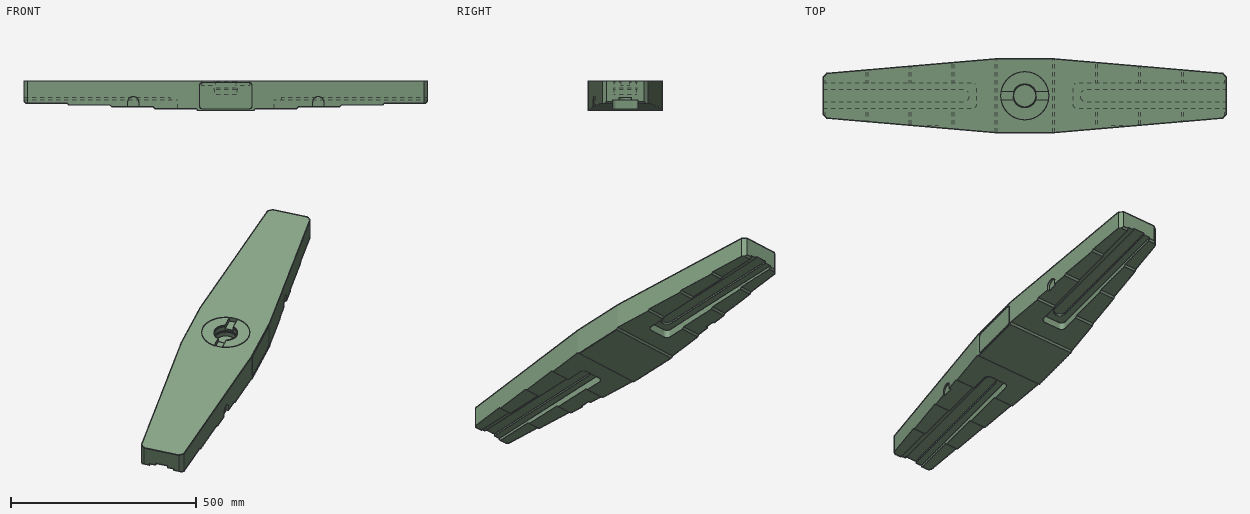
import cadquery as cq

LENGTH = 1090.0
WIDTH = 200.0
HEIGHT = 80.6
END_WIDTH = 120.0
MIDDLE_LENGTH = 160.0
CORNER_CHAMFER = 10.0
EDGE_CHAMFER = 1.0

TERRACE_COUNT = 4
STEP_HEIGHT = 5.0

SEAT_DIAMETER = 130.0
SEAT_DEPTH = 1.0
BORE_DIAMETER = 60.0
BORE_FLOOR_DEPTH = 37.0
BORE_RIM_CHAMFER = 2.0
BORE_GROOVE_DIAMETER = 64.0
BORE_GROOVE_TOP_DEPTH = 20.0
BORE_GROOVE_HEIGHT = 4.0
DRIVING_SLOT_WIDTH = 23.0
DRIVING_SLOT_DEPTH = 13.0

WIDE_CHANNEL_WIDTH = 70.0
WIDE_CHANNEL_CEILING = -51.5
WIDE_CHANNEL_END_X = 130.0
WIDE_CHANNEL_CORNER_RADIUS = 13.0
NARROW_CHANNEL_WIDTH = 34.0
NARROW_CHANNEL_CEILING = -45.6
NARROW_CHANNEL_END_X = 150.0

NOTCH_X = 250.0
NOTCH_WIDTH = 30.0
NOTCH_TOP = -42.5
NOTCH_DEPTH = 5.0

PANEL_LENGTH = 142.0
PANEL_TOP = -5.0
PANEL_CORNER_RADIUS = 8.0
PANEL_DEPTH = 1.0

half_length = LENGTH / 2
half_width = WIDTH / 2
half_middle = MIDDLE_LENGTH / 2
half_end = END_WIDTH / 2
taper_length = half_length - half_middle
terrace_length = taper_length / TERRACE_COUNT
panel_bottom = STEP_HEIGHT - HEIGHT


def plan_body():
    """Flat middle tapering to narrower ends with bevelled corners."""
    upper_right = [(half_middle, half_width), (half_length, half_end)]
    lower_right = [(x, -y) for x, y in reversed(upper_right)]
    left = [(-x, -y) for x, y in upper_right + lower_right]
    body = cq.Workplane("XY").polyline(upper_right + lower_right + left).close().extrude(-HEIGHT)
    body = body.faces("<X or >X").edges("|Z").chamfer(CORNER_CHAMFER)
    return body.faces(">Z or <Z").chamfer(EDGE_CHAMFER)


def side_body():
    """Terraced side outline, extruded across the whole width."""
    right = []
    for i in range(TERRACE_COUNT + 1):
        x = half_middle + i * terrace_length
        z = i * STEP_HEIGHT - HEIGHT
        right.append((x - STEP_HEIGHT, z))
        right.append((x, z + STEP_HEIGHT))
    right.append((half_length, 0))
    left = [(-x, z) for x, z in reversed(right)]
    return cq.Workplane("XZ").polyline(right + left).close().extrude(half_width, both=True)


def disc(diameter, top_depth, height):
    """Round cutter about the Z axis that starts top_depth below the top face."""
    return cq.Workplane("XY", origin=(0, 0, -top_depth)).circle(diameter / 2).extrude(-height)


def seat_cut():
    """Round seat, its chamfered and grooved bore, and the driving slots across it."""
    seat = disc(SEAT_DIAMETER, 0, SEAT_DEPTH)
    bore = disc(BORE_DIAMETER, SEAT_DEPTH, BORE_FLOOR_DEPTH - SEAT_DEPTH)
    rim = disc(BORE_DIAMETER + 2 * BORE_RIM_CHAMFER, SEAT_DEPTH, 2 * BORE_RIM_CHAMFER)
    rim = rim.faces("<Z").chamfer(BORE_RIM_CHAMFER)
    groove = disc(BORE_GROOVE_DIAMETER, BORE_GROOVE_TOP_DEPTH, BORE_GROOVE_HEIGHT)
    slot = cq.Workplane("XY").rect(SEAT_DIAMETER, DRIVING_SLOT_WIDTH).extrude(-DRIVING_SLOT_DEPTH)
    slot = slot.intersect(disc(SEAT_DIAMETER, 0, DRIVING_SLOT_DEPTH))
    return seat.union(bore).union(rim).union(groove).union(slot)


def channel_box(width, ceiling, inner_x):
    """Square-ended channel from inner_x out through the +X end, open below."""
    box = cq.Workplane("XY").box(half_length - inner_x, width, HEIGHT, centered=(False, True, False))
    return box.translate((inner_x, 0, ceiling - HEIGHT))


def channels_cut():
    """Wide channel with rounded corners and a higher narrow one with a half-round end, at both ends."""
    wide = channel_box(WIDE_CHANNEL_WIDTH, WIDE_CHANNEL_CEILING, WIDE_CHANNEL_END_X)
    wide = wide.edges("|Z and <X").fillet(WIDE_CHANNEL_CORNER_RADIUS)
    arc_x = NARROW_CHANNEL_END_X + NARROW_CHANNEL_WIDTH / 2
    narrow = channel_box(NARROW_CHANNEL_WIDTH, NARROW_CHANNEL_CEILING, arc_x)
    round_end = disc(NARROW_CHANNEL_WIDTH, -NARROW_CHANNEL_CEILING, HEIGHT).translate((arc_x, 0, 0))
    one_end = wide.union(narrow).union(round_end)
    return one_end.union(one_end.mirror("YZ"))


def notch_cut(x):
    """Arched notch sunk into the tapered -Y side at the given x."""
    radius = NOTCH_WIDTH / 2
    spring_z = NOTCH_TOP - radius
    taper_fraction = (abs(x) - half_middle) / taper_length
    side_y = half_width - taper_fraction * (half_width - half_end)
    return (
        cq.Workplane("XZ", origin=(x, NOTCH_DEPTH - side_y, 0))
        .moveTo(-radius, -HEIGHT)
        .lineTo(-radius, spring_z)
        .threePointArc((0, NOTCH_TOP), (radius, spring_z))
        .lineTo(radius, -HEIGHT)
        .close()
        .extrude(half_width)
    )


def panel_cut():
    """Rounded rectangular recess centred on the flat -Y side."""
    panel = cq.Workplane("XY").box(PANEL_LENGTH, 2 * PANEL_DEPTH, PANEL_TOP - panel_bottom)
    panel = panel.edges("|Y").fillet(PANEL_CORNER_RADIUS)
    return panel.translate((0, -half_width, (PANEL_TOP + panel_bottom) / 2))


result = plan_body().intersect(side_body())
result = result.cut(seat_cut()).cut(channels_cut()).cut(panel_cut())
for notch_x in (-NOTCH_X, NOTCH_X):
    result = result.cut(notch_cut(notch_x))